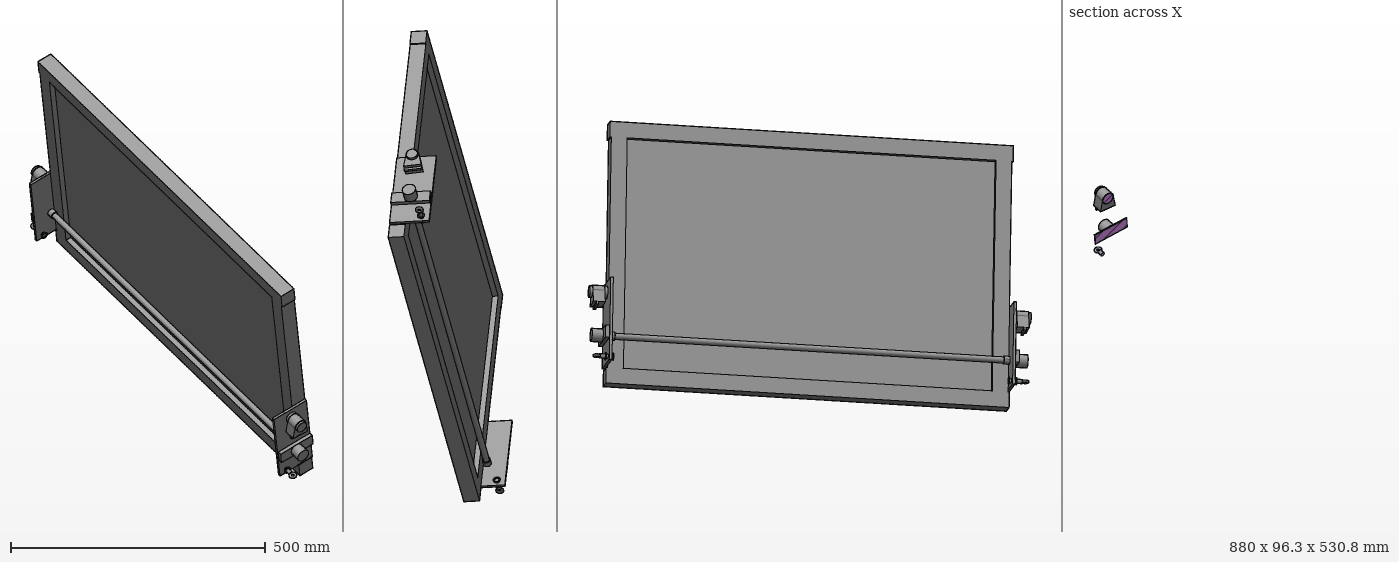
import cadquery as cq

tilt_angle = 5.0

frame_width = 804.0
frame_height = 530.0
frame_depth = 32.0
frame_border = 34.0
end_band_height = 32.0
screen_recess = 11.0

plate_inner_x = 399.5
plate_thickness = 5.0
plate_outer_x = plate_inner_x + plate_thickness
plate_depth = 79.0
plate_bottom = 36.0
plate_top = 202.0

rod_forward = 40.0
rod_height = 93.0
rod_radius = 6.0
collar_radius = 8.0
collar_length = 11.0
clamp_depth = 77.0
clamp_height = 25.0
clamp_thickness = 8.0
knob_radius = 13.0
knob_end_x = 435.0

pin_forward = 63.0
pin_height = 46.0
pin_radius = 4.0
washer_radius = 7.0
washer_thickness = 1.0
pin_inner_x = 394.0
outer_washer_x = 409.0
ring_radius = 5.0
ring_wire_radius = 3.0
ring_end_x = 435.0

hanger_forward = 55.0
hanger_height = 177.0
hanger_radius = 13.0
neck_radius = 12.0
hanger_inner_x = 411.0
hanger_outer_x = 435.0
hanger_drop = 25.5
hanger_half_width = 18.0
cap_radius = 11.0
cap_end_x = 440.0
foot_height = 5.0
foot_inner_x = 424.0
foot_thickness = 4.0


def box_between(x_start, x_end, y_start, y_end, z_start, z_end):
    """Axis-aligned box given by its limits."""
    size = (x_end - x_start, y_end - y_start, z_end - z_start)
    return cq.Workplane("XY").box(*size, centered=False).translate((x_start, y_start, z_start))


def x_cylinder(x_start, x_end, forward, height, radius):
    """Cylinder along X, with its axis a given distance forward of the back face."""
    section = cq.Plane(origin=(x_start, -forward, height), xDir=(0, -1, 0), normal=(1, 0, 0))
    return cq.Workplane(section).circle(radius).extrude(x_end - x_start)


def on_both_sides(feature):
    """Right-hand feature joined with its mirror image on the left."""
    return feature.union(feature.mirror("YZ"))


def make_frame():
    half_width = frame_width / 2
    frame = box_between(-half_width, half_width, -frame_depth, 0, 0, frame_height)
    flank_relief = box_between(
        plate_inner_x, half_width, -frame_depth, 0, end_band_height, frame_height - end_band_height
    )
    window_half_width = half_width - frame_border
    window = box_between(
        -window_half_width,
        window_half_width,
        -frame_depth,
        screen_recess - frame_depth,
        end_band_height,
        frame_height - end_band_height,
    )
    return frame.cut(on_both_sides(flank_relief)).cut(window)


def make_side_plate():
    return box_between(plate_inner_x, plate_outer_x, -plate_depth, 0, plate_bottom, plate_top)


def make_rod():
    return x_cylinder(-plate_outer_x, plate_outer_x, rod_forward, rod_height, rod_radius)


def make_clamp():
    clamp_end_x = plate_outer_x + clamp_thickness
    bar = box_between(
        plate_outer_x,
        clamp_end_x,
        -clamp_depth,
        0,
        rod_height - clamp_height / 2,
        rod_height + clamp_height / 2,
    )
    knob = x_cylinder(clamp_end_x, knob_end_x, rod_forward, rod_height, knob_radius)
    collar = x_cylinder(plate_inner_x - collar_length, plate_inner_x, rod_forward, rod_height, collar_radius)
    return bar.union(knob).union(collar)


def make_pin():
    ring_x = ring_end_x - ring_radius - ring_wire_radius
    pin = x_cylinder(pin_inner_x, ring_x - ring_radius, pin_forward, pin_height, pin_radius)
    for washer_x in (pin_inner_x, outer_washer_x):
        washer_end_x = washer_x + washer_thickness
        pin = pin.union(x_cylinder(washer_x, washer_end_x, pin_forward, pin_height, washer_radius))
    ring_centre = cq.Vector(ring_x, -pin_forward, pin_height)
    pull_ring = cq.Solid.makeTorus(ring_radius, ring_wire_radius, ring_centre, cq.Vector(0, 0, 1))
    return pin.union(cq.Workplane(pull_ring))


def make_hanger():
    body = (
        cq.Workplane("YZ", origin=(hanger_inner_x, -hanger_forward, hanger_height))
        .moveTo(-hanger_radius, 0)
        .threePointArc((0, hanger_radius), (hanger_radius, 0))
        .lineTo(hanger_half_width, -hanger_drop)
        .lineTo(-hanger_half_width, -hanger_drop)
        .close()
        .extrude(hanger_outer_x - hanger_inner_x)
    )
    neck = x_cylinder(plate_outer_x, hanger_inner_x, hanger_forward, hanger_height, neck_radius)
    cap = x_cylinder(hanger_outer_x, cap_end_x, hanger_forward, hanger_height, cap_radius)
    body_bottom = hanger_height - hanger_drop
    foot = box_between(
        foot_inner_x,
        foot_inner_x + foot_thickness,
        -hanger_forward - hanger_half_width,
        -hanger_forward + hanger_half_width,
        body_bottom - foot_height,
        body_bottom,
    )
    return body.union(neck).union(cap).union(foot)


side_fittings = make_side_plate().union(make_clamp()).union(make_pin())
tilted_screen = make_frame().union(on_both_sides(side_fittings)).union(make_rod())
tilted_screen = tilted_screen.rotate((0, 0, 0), (1, 0, 0), tilt_angle)

result = tilted_screen.union(on_both_sides(make_hanger()))